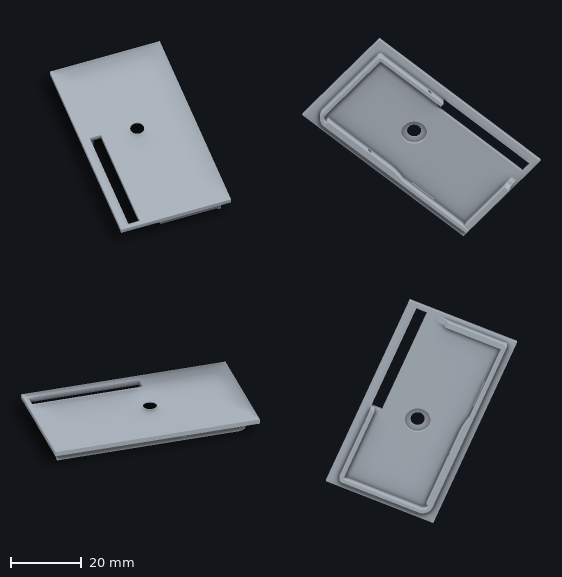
import cadquery as cq

length = 60.4
width = 32.9
height = 4.45
plate_thickness = 1.4
rim_height = height - plate_thickness

rim_inset = 2.6
rim_front_inset = 2.7
rim_right_inset = 1.1
wall_thickness = 0.95
right_wall_thickness = 1.65
front_corner_radius = 0.95
back_corner_radius = 3.0
rim_left = -length / 2 + rim_inset
rim_right = length / 2 - rim_right_inset
rim_front = -width / 2 + rim_front_inset
rim_back = width / 2 - rim_inset

slot_left = -3.85
slot_right = 28.8
slot_front = -13.85
slot_width = 3.4
slot_back = slot_front + slot_width

pad_thickness = 0.85
pad_curve_start = -1.1
pad_curve_end = 4.4
pad_curve_sag = 0.2

catch_left = 7.55
catch_length = 8.2
catch_height = 0.6
catch_depth = 0.35

button_diameter = 4.0
button_x = -2.8
button_skin = 0.3
button_relief_diameter = 7.25
pin_diameter = 1.5
pin_x = -8.75
pin_z = 1.65

right_wall_front = -7.25
back_wall_end_step = 0.2
cove_bottom = 0.7
cove_radius = 1.7
cove_slope_depth = 1.2


def box(left, right, front, back, bottom, top):
    """Block between the given limits."""
    block = cq.Workplane("XY").box(right - left, back - front, top - bottom, centered=False)
    return block.translate((left, front, bottom))


def make_rim():
    """Open-bottomed rim, open in front beside the slot."""
    rim = box(rim_left, rim_right, rim_front, rim_back, 0, rim_height)
    rim = rim.edges("|Z and <X and <Y").fillet(front_corner_radius)
    rim = rim.edges("|Z and <X and >Y").fillet(back_corner_radius)
    cavity = box(
        rim_left + wall_thickness, rim_right - right_wall_thickness,
        rim_front + wall_thickness, rim_back - wall_thickness, 0, rim_height,
    )
    cavity = cavity.edges("|Z and <X and >Y").fillet(back_corner_radius - wall_thickness)
    opening = box(slot_left, rim_right, rim_front, slot_back, 0, rim_height)
    return rim.cut(cavity).cut(opening)


def make_back_pad():
    """Thickening of the back wall that blends away along a shallow arc."""
    wall_face = rim_back - wall_thickness
    pad_face = wall_face - pad_thickness
    arc_middle = (
        (pad_curve_start + pad_curve_end) / 2,
        (pad_face + wall_face) / 2 - pad_curve_sag,
    )
    pad_left = rim_left + back_corner_radius
    return (
        cq.Workplane("XY")
        .moveTo(pad_left, rim_back)
        .lineTo(pad_left, pad_face)
        .lineTo(pad_curve_start, pad_face)
        .threePointArc(arc_middle, (pad_curve_end, wall_face))
        .lineTo(pad_curve_end, rim_back)
        .close()
        .extrude(rim_height)
    )


def make_wall_cove():
    """Cutter that undercuts the front end of the right wall."""
    cove_top = cove_bottom + cove_radius
    foot_y = right_wall_front + cove_slope_depth + cove_radius
    middle = cove_radius * 0.5 ** 0.5
    profile = (
        cq.Workplane("YZ", origin=(rim_right - right_wall_thickness, 0, 0))
        .moveTo(slot_back, 0)
        .lineTo(foot_y, 0)
        .lineTo(foot_y, cove_bottom)
        .threePointArc(
            (foot_y - cove_radius + middle, cove_bottom + middle),
            (foot_y - cove_radius, cove_top),
        )
        .lineTo(right_wall_front, rim_height)
        .lineTo(slot_back, rim_height)
        .close()
    )
    return profile.extrude(right_wall_thickness)


def make_right_wall_relief():
    """Cutter that raises the right wall and sets back the end of the back wall below it."""
    under_wall = box(
        rim_right - right_wall_thickness, rim_right,
        rim_front, rim_back - wall_thickness, 0, cove_bottom,
    )
    end_step = box(rim_right - back_wall_end_step, rim_right, rim_front, rim_back, 0, cove_bottom)
    return under_wall.union(end_step)


def make_catch():
    """Small ledge under the plate on the back wall."""
    wall_face = rim_back - wall_thickness
    return box(
        catch_left, catch_left + catch_length,
        wall_face - catch_depth, rim_back, rim_height - catch_height, rim_height,
    )


def make_button_hole():
    """Through hole with a wider relief from below that leaves a thin skin."""
    hole = cq.Workplane("XY").center(button_x, 0).circle(button_diameter / 2).extrude(height)
    relief = cq.Workplane("XY").center(button_x, 0).circle(button_relief_diameter / 2)
    return hole.union(relief.extrude(height - button_skin))


def make_pin_hole():
    """Cross hole through the front and back walls."""
    profile = cq.Workplane("XZ").center(pin_x, pin_z).circle(pin_diameter / 2)
    return profile.extrude(width / 2, both=True)


plate = box(-length / 2, length / 2, -width / 2, width / 2, rim_height, height)
slot = box(slot_left, slot_right, slot_front, slot_back, rim_height, height)

result = plate.union(make_rim().cut(make_wall_cove()).cut(make_right_wall_relief()))
result = result.union(make_back_pad()).union(make_catch())
result = result.cut(slot).cut(make_button_hole()).cut(make_pin_hole())